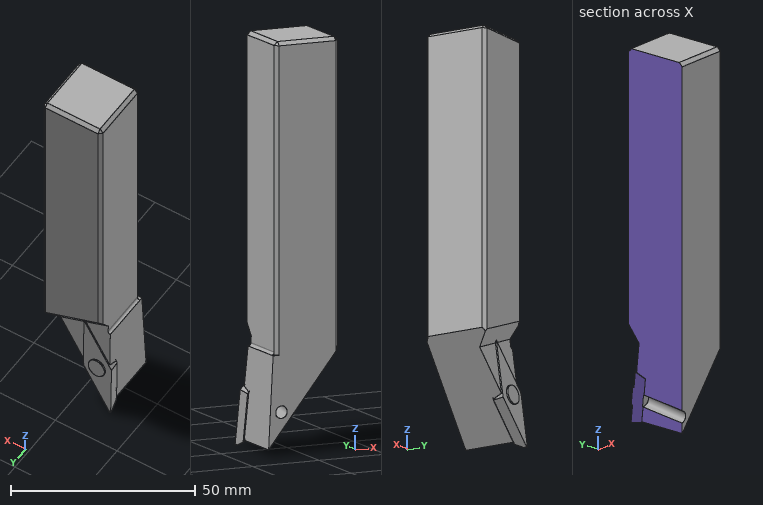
import cadquery as cq
import math

total_length = 114.3
shank_width = 19.1
shank_chamfer = 1.0

ledge_z = 27.8
ledge_overhang = 0.8
ledge_fillet = 0.8
steep_flank_angle = 3.0
head_bottom_z = 1.8
slant_top_z = 28.6

rake_fall = 0.1
rake_side_fall = 0.05
floor_depth = 0.5
relief_end_z = 35.1
relief_wall_slope = 50.0

tip_x = -3.1
insert_edge = 16.2
insert_point_angle = 35.5
insert_thickness = 3.7
insert_relief = 11.0
insert_nose_radius = 0.29
insert_corner_radius = 0.06
boss_diameter = 5.4
boss_height = 0.5
boss_root = 1.1

hole_radius = 1.7
hole_x = 1.7
hole_z = 12.0

head_left_x = -ledge_overhang
head_tip_x = head_left_x - (ledge_z - head_bottom_z) * math.tan(math.radians(steep_flank_angle))
half_point = math.radians(insert_point_angle / 2)
bisector_angle = math.radians(steep_flank_angle) + half_point

rake_normal = cq.Vector(rake_side_fall, 1, rake_fall).normalized()
bisector = cq.Vector(math.sin(bisector_angle), 0, math.cos(bisector_angle))
rake_up = (bisector - rake_normal * bisector.dot(rake_normal)).normalized()
rake_side = rake_up.cross(rake_normal)
insert_top_y = shank_width - insert_nose_radius * math.hypot(rake_fall, rake_side_fall)
nose_center = cq.Vector(tip_x + insert_nose_radius, insert_top_y, insert_nose_radius)
sharp_tip = nose_center - rake_up * (insert_nose_radius / math.sin(half_point))


def rake_plane(depth):
    """Plane parallel to the insert face and sunk by depth; local Y runs up the insert."""
    return cq.Plane(origin=(sharp_tip - rake_normal * depth).toTuple(),
                    xDir=rake_side.toTuple(), normal=rake_normal.toTuple())


def prism_along_y(outline):
    """Extrude an XZ outline across the full shank width, from Y = 0."""
    return outline.extrude(-shank_width)


def insert_outline(depth, nose_radius):
    """Wire of the rounded rhombus at a depth below the face, where the flanks have moved inward."""
    inset = depth * math.tan(math.radians(insert_relief))
    half_length = insert_edge * math.cos(half_point)
    shrink = 1 - inset / (half_length * math.sin(half_point))
    half_width = insert_edge * math.sin(half_point) * shrink
    low_y = half_length * (1 - shrink)
    center_y = low_y + nose_radius / math.sin(half_point)
    tangent_x = nose_radius * math.cos(half_point)
    tangent_y = center_y - nose_radius * math.sin(half_point)
    outline = (cq.Workplane(rake_plane(depth)).moveTo(tangent_x, tangent_y)
               .lineTo(half_width, half_length).lineTo(0, 2 * half_length - low_y)
               .lineTo(-half_width, half_length).lineTo(-tangent_x, tangent_y)
               .threePointArc((0, center_y - nose_radius), (tangent_x, tangent_y)).close())
    return outline.val()


def make_insert():
    """Tapered rhombus with a conical nose that runs out into a nearly sharp corner."""
    nose_depth = (insert_nose_radius - insert_corner_radius) / math.tan(math.radians(insert_relief))
    sections = [insert_outline(0, insert_nose_radius),
                insert_outline(nose_depth, insert_corner_radius),
                insert_outline(insert_thickness, insert_corner_radius)]
    body = cq.Workplane(obj=cq.Solid.makeLoft(sections, True))
    boss = (cq.Workplane(rake_plane(boss_root)).center(0, insert_edge * math.cos(half_point))
            .circle(boss_diameter / 2).extrude(boss_root + boss_height))
    return body.union(boss)


def make_shank():
    """Square bar chamfered on its long edges and top, cut off along the slanted flank."""
    shank = (cq.Workplane("XY").box(shank_width, shank_width, total_length, centered=False)
             .edges("|Z or >Z").chamfer(shank_chamfer))
    below_slant = prism_along_y(
        cq.Workplane("XZ").polyline([(head_tip_x, head_bottom_z), (shank_width, slant_top_z),
                                     (shank_width, 0), (head_tip_x, 0)]).close())
    return shank.cut(below_slant)


def make_head_flank():
    """Left part of the wedge, with its filleted ledge under the shank."""
    middle_x = shank_width / 2
    slant = (slant_top_z - head_bottom_z) / (shank_width - head_tip_x)
    middle_z = head_bottom_z + slant * (middle_x - head_tip_x)
    flank = prism_along_y(
        cq.Workplane("XZ").polyline([(head_left_x, ledge_z), (middle_x, ledge_z),
                                     (middle_x, middle_z), (head_tip_x, head_bottom_z)]).close())
    fillet_end = ledge_fillet * (1 - math.sqrt(0.5))
    ledge_blend = (cq.Workplane("XZ", origin=(0, shank_chamfer, 0))
                   .moveTo(0, ledge_z).lineTo(-ledge_fillet, ledge_z)
                   .threePointArc((-fillet_end, ledge_z + fillet_end), (0, ledge_z + ledge_fillet))
                   .close().extrude(shank_chamfer - shank_width))
    return flank.union(ledge_blend)


def make_relief_cutter():
    """Space above the head's tilted floor, ended by a sloping wall across the insert's axis."""
    above_floor = cq.Workplane(rake_plane(floor_depth)).rect(total_length, total_length).extrude(total_length)
    across = cq.Vector(math.cos(bisector_angle), 0, -math.sin(bisector_angle))
    slope = math.radians(relief_wall_slope)
    wall_normal = cq.Vector(0, math.sin(slope), 0) - bisector * math.cos(slope)
    wall_plane = cq.Plane(origin=(0, shank_width, relief_end_z),
                          xDir=across.toTuple(), normal=wall_normal.toTuple())
    below_wall = cq.Workplane(wall_plane).rect(total_length, total_length).extrude(total_length)
    return above_floor.intersect(below_wall)


def make_hole_cutter():
    """Cylinder square to the seat, starting outside the Y = 0 side of the head."""
    hole_plane = cq.Plane(origin=(hole_x, 0, hole_z), normal=rake_normal.toTuple())
    return (cq.Workplane(hole_plane).workplane(offset=-hole_radius)
            .circle(hole_radius).extrude(shank_width))


insert = make_insert()
holder = (make_shank().union(make_head_flank()).cut(make_relief_cutter())
          .cut(make_hole_cutter()).cut(insert))
result = cq.Compound.makeCompound([holder.val(), insert.val()])